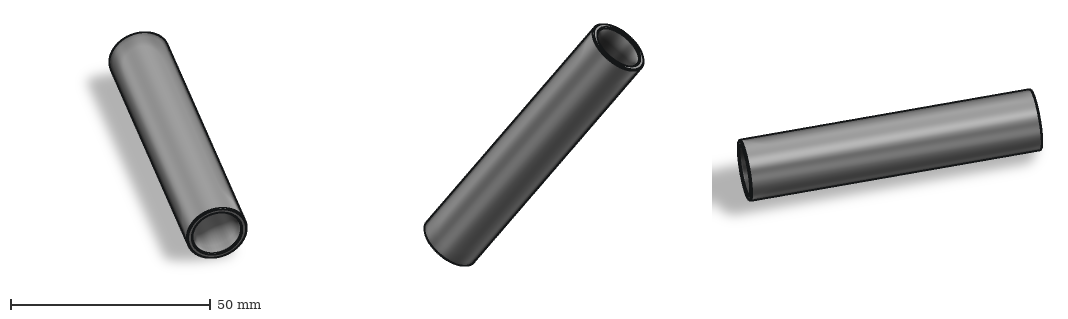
import cadquery as cq

length = 75.0
outer_diameter = 15.62
bore_diameter = 12.6
edge_chamfer = 0.3


def tube_body():
    """Plain tube along X, centred on the origin."""
    return (
        cq.Workplane("YZ", origin=(-length / 2, 0, 0))
        .circle(outer_diameter / 2)
        .circle(bore_diameter / 2)
        .extrude(length)
    )


def chamfer_ends(body):
    """Break the outer and bore edges of both end faces."""
    return body.faces("<X or >X").edges().chamfer(edge_chamfer)


result = chamfer_ends(tube_body())